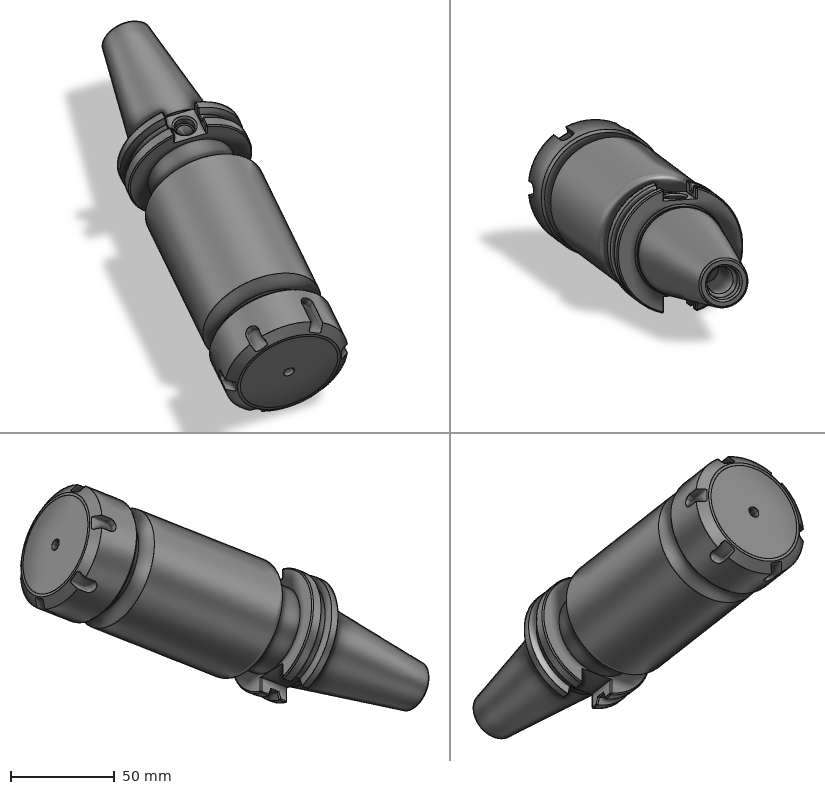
import cadquery as cq
import math

OVERALL_LENGTH = 220.6
GAUGE_LINE_X = 68.2
FLANGE_START_X = 71.5
FLANGE_END_X = 87.8
BODY_START_X = 103.3
BODY_END_X = 184.0
NUT_START_X = 194.6

TAPER_LARGE_DIAMETER = 44.4
TAPER_RATIO = 7 / 24
TAPER_END_CHAMFER = 0.9
RELIEF_DIAMETER = 44.0
RELIEF_BLEND_DIAMETER = 45.7
BORE_MOUTH_DIAMETER = 18.5
COUNTERBORE_DIAMETER = 16.5
COUNTERBORE_DEPTH = 5.0
THREAD_BORE_DIAMETER = 13.5
THREAD_BORE_DEPTH = 31.0
THROUGH_HOLE_DIAMETER = 5.5

FLANGE_DIAMETER = 63.5
FLANGE_CHAMFER = 0.7
GROOVE_CENTRE_X = 79.2
GROOVE_FLOOR_DIAMETER = 56.5
GROOVE_FLOOR_WIDTH = 4.0
GROOVE_MOUTH_WIDTH = 6.6

DRIVE_SLOT_WIDTH = 16.0
DRIVE_SLOT_EDGE_BREAK = 0.7
UPPER_SLOT_FLOOR_Z = 25.0
LOWER_SLOT_FLOOR_Z = -22.3

SLOT_HOLE_MOUTH_DIAMETER = 12.1
SLOT_HOLE_DIAMETER = 10.1
SLOT_HOLE_DEPTH = 4.5
SLOT_HOLE_TIP_DIAMETER = 8.0
DRILL_POINT_ANGLE = 118.0

REAR_NECK_DIAMETER = 44.4
BODY_DIAMETER = 61.0
BODY_FILLET = 3.8
NOSE_DIAMETER = 50.0

NUT_DIAMETER = 63.0
NUT_REAR_CHAMFER = 1.3
NUT_FRONT_BEVEL_LENGTH = 3.5
NUT_FRONT_DIAMETER = 53.0
WRENCH_SLOT_COUNT = 6
WRENCH_SLOT_WIDTH = 7.0
WRENCH_SLOT_FLOOR_RADIUS = 27.1
WRENCH_SLOT_FILLET = 0.9
SHORT_SLOT_LENGTH = 12.1
LONG_SLOT_LENGTH = 19.5
FIRST_SLOT_ANGLE = 90.0
LONG_SLOT_INDEX = 2


def revolve_profile(points):
    """Solid of revolution about X from (x, radius) points; both ends close on the axis."""
    first_x = points[0][0]
    last_x = points[-1][0]
    outline = [(first_x, 0), *points, (last_x, 0)]
    return cq.Workplane("XY").polyline(outline).close().revolve(360, (0, 0), (1, 0))


def make_shank():
    """Steep taper with a chamfered small end and a relieved band before the flange."""
    large_radius = TAPER_LARGE_DIAMETER / 2
    blend = (RELIEF_BLEND_DIAMETER - RELIEF_DIAMETER) / 2
    chamfer_end_radius = large_radius - (GAUGE_LINE_X - TAPER_END_CHAMFER) * TAPER_RATIO / 2
    return revolve_profile([
        (0, chamfer_end_radius - TAPER_END_CHAMFER),
        (TAPER_END_CHAMFER, chamfer_end_radius),
        (GAUGE_LINE_X, large_radius),
        (GAUGE_LINE_X, RELIEF_DIAMETER / 2),
        (FLANGE_START_X - blend, RELIEF_DIAMETER / 2),
        (FLANGE_START_X, RELIEF_BLEND_DIAMETER / 2),
    ])


def make_flange():
    """Chamfered flange with a tapered gripper groove around its rim."""
    rim = FLANGE_DIAMETER / 2
    floor = GROOVE_FLOOR_DIAMETER / 2
    return revolve_profile([
        (FLANGE_START_X, rim - FLANGE_CHAMFER),
        (FLANGE_START_X + FLANGE_CHAMFER, rim),
        (GROOVE_CENTRE_X - GROOVE_MOUTH_WIDTH / 2, rim),
        (GROOVE_CENTRE_X - GROOVE_FLOOR_WIDTH / 2, floor),
        (GROOVE_CENTRE_X + GROOVE_FLOOR_WIDTH / 2, floor),
        (GROOVE_CENTRE_X + GROOVE_MOUTH_WIDTH / 2, rim),
        (FLANGE_END_X - FLANGE_CHAMFER, rim),
        (FLANGE_END_X, rim - FLANGE_CHAMFER),
    ])


def make_body():
    """Rear neck, large cylinder rounded at the back and beveled at the front, and nose."""
    body_radius = BODY_DIAMETER / 2
    nose_radius = NOSE_DIAMETER / 2
    bevel = body_radius - nose_radius
    neck_radius = REAR_NECK_DIAMETER / 2
    neck = revolve_profile([(FLANGE_END_X, neck_radius), (BODY_START_X, neck_radius)])
    barrel = revolve_profile([(BODY_START_X, body_radius), (BODY_END_X, body_radius)])
    barrel = barrel.faces("<X").edges().fillet(BODY_FILLET)
    nose = revolve_profile([
        (BODY_END_X, body_radius),
        (BODY_END_X + bevel, nose_radius),
        (OVERALL_LENGTH, nose_radius),
    ])
    return neck.union(barrel).union(nose)


def make_drive_slots():
    """Cutters for the two drive slots, the upper one shallower than the lower one."""
    length = FLANGE_END_X - FLANGE_START_X
    centre_x = (FLANGE_START_X + FLANGE_END_X) / 2
    height = FLANGE_DIAMETER / 2
    slot = cq.Workplane("XY").box(length, DRIVE_SLOT_WIDTH, height, centered=(True, True, False))
    upper = slot.translate((centre_x, 0, UPPER_SLOT_FLOOR_Z))
    lower = slot.translate((centre_x, 0, LOWER_SLOT_FLOOR_Z - height))
    return upper.union(lower)


def break_drive_slot_edges(flange):
    """Chamfer every edge of the slot walls except those along the slot floors."""
    floor_levels = (UPPER_SLOT_FLOOR_Z, LOWER_SLOT_FLOOR_Z)
    walls = flange.faces("|Y")
    edges = [
        edge for edge in walls.edges().vals()
        if all(abs(edge.Center().z - level) > DRIVE_SLOT_EDGE_BREAK for level in floor_levels)
    ]
    return flange.newObject(edges).chamfer(DRIVE_SLOT_EDGE_BREAK)


def make_slot_hole():
    """Cutter for the chamfered blind hole with a conical tip in the upper slot floor."""
    mouth = SLOT_HOLE_MOUTH_DIAMETER / 2
    radius = SLOT_HOLE_DIAMETER / 2
    tip = SLOT_HOLE_TIP_DIAMETER / 2
    tip_height = tip / math.tan(math.radians(DRILL_POINT_ANGLE / 2))
    centre_x = (FLANGE_START_X + FLANGE_END_X) / 2
    outline = [
        (0, 0),
        (mouth, 0),
        (radius, radius - mouth),
        (radius, -SLOT_HOLE_DEPTH),
        (tip, -SLOT_HOLE_DEPTH),
        (0, -SLOT_HOLE_DEPTH - tip_height),
    ]
    hole = cq.Workplane("XZ").polyline(outline).close().revolve(360, (0, 0), (0, 1))
    return hole.translate((centre_x, 0, UPPER_SLOT_FLOOR_Z))


def make_axial_bore():
    """Cutter for the stepped bore at the small end and the narrow hole right through."""
    mouth = BORE_MOUTH_DIAMETER / 2
    counterbore = COUNTERBORE_DIAMETER / 2
    thread = THREAD_BORE_DIAMETER / 2
    through = THROUGH_HOLE_DIAMETER / 2
    return revolve_profile([
        (0, mouth),
        (mouth - counterbore, counterbore),
        (COUNTERBORE_DEPTH, counterbore),
        (COUNTERBORE_DEPTH + counterbore - thread, thread),
        (THREAD_BORE_DEPTH, thread),
        (THREAD_BORE_DEPTH, through),
        (OVERALL_LENGTH, through),
    ])


def make_holder():
    flange = break_drive_slot_edges(make_flange().cut(make_drive_slots()))
    blank = make_shank().union(flange).union(make_body())
    return blank.cut(make_slot_hole()).cut(make_axial_bore())


def make_wrench_slot(length, angle):
    """Cutter for one flat-floored, round-ended slot open at the front of the nut."""
    round_radius = WRENCH_SLOT_WIDTH / 2
    open_end_x = OVERALL_LENGTH + WRENCH_SLOT_WIDTH
    round_centre_x = OVERALL_LENGTH - length + round_radius
    cut_depth = NUT_DIAMETER / 2 - WRENCH_SLOT_FLOOR_RADIUS + round_radius
    slot = (
        cq.Workplane("XY")
        .moveTo(open_end_x, -round_radius)
        .lineTo(round_centre_x, -round_radius)
        .threePointArc((OVERALL_LENGTH - length, 0), (round_centre_x, round_radius))
        .lineTo(open_end_x, round_radius)
        .close()
        .extrude(cut_depth)
        .faces("<Z").edges().fillet(WRENCH_SLOT_FILLET)
        .translate((0, 0, WRENCH_SLOT_FLOOR_RADIUS))
    )
    return slot.rotate((0, 0, 0), (1, 0, 0), angle)


def make_nut():
    """Beveled ring on the nose with wrench slots; one slot is longer than the others."""
    rim = NUT_DIAMETER / 2
    nut = revolve_profile([
        (NUT_START_X, rim - NUT_REAR_CHAMFER),
        (NUT_START_X + NUT_REAR_CHAMFER, rim),
        (OVERALL_LENGTH - NUT_FRONT_BEVEL_LENGTH, rim),
        (OVERALL_LENGTH, NUT_FRONT_DIAMETER / 2),
    ])
    nose_radius = NOSE_DIAMETER / 2
    nut = nut.cut(revolve_profile([(NUT_START_X, nose_radius), (OVERALL_LENGTH, nose_radius)]))
    for index in range(WRENCH_SLOT_COUNT):
        length = LONG_SLOT_LENGTH if index == LONG_SLOT_INDEX else SHORT_SLOT_LENGTH
        angle = FIRST_SLOT_ANGLE - index * 360 / WRENCH_SLOT_COUNT
        nut = nut.cut(make_wrench_slot(length, angle))
    return nut


holder = make_holder()
nut = make_nut()
result = cq.Compound.makeCompound([holder.val(), nut.val()])